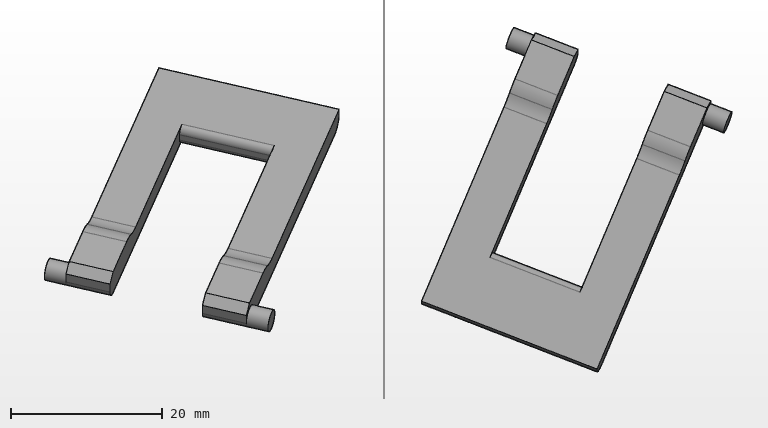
import cadquery as cq
import math

body_width = 25.0
body_length = 40.0
plate_thickness = 3.0
pad_height = 4.0
back_radius = 2.0

arm_width = 6.1
bridge_length = 10.0
bridge_edge_radius = 1.0

front_chamfer_length = 1.4
front_chamfer_height = 1.0
ramp_start = 7.2
ramp_radius = 4.0

pin_diameter = 3.0
pin_length = 3.0

opening_width = body_width - 2 * arm_width
bridge_front = body_length - bridge_length
pin_radius = pin_diameter / 2
ramp_rise = pad_height - plate_thickness
ramp_length = math.sqrt(4 * ramp_radius * ramp_rise - ramp_rise**2)


def make_body():
    """Side profile in the YZ plane, front at Y = 0, extruded across the width."""
    ramp_end = (ramp_start + ramp_length, plate_thickness)
    ramp_middle = (ramp_start + ramp_length / 2, plate_thickness + ramp_rise / 2)
    profile = (
        cq.Workplane("YZ")
        .moveTo(body_length - back_radius, 0)
        .lineTo(pin_radius, 0)
        .tangentArcPoint((0, pin_radius), relative=False)
        .lineTo(0, pad_height - front_chamfer_height)
        .lineTo(front_chamfer_length, pad_height)
        .lineTo(ramp_start, pad_height)
        .tangentArcPoint(ramp_middle, relative=False)
        .tangentArcPoint(ramp_end, relative=False)
        .lineTo(body_length, plate_thickness)
        .lineTo(body_length, back_radius)
        .tangentArcPoint((body_length - back_radius, 0), relative=False)
        .close()
    )
    return profile.extrude(body_width / 2, both=True)


def make_opening():
    """Cutter between the arms, flared where it rounds the edges of the bridge."""
    flare_end = bridge_front + bridge_edge_radius
    upper_tangent_height = plate_thickness - bridge_edge_radius
    profile = (
        cq.Workplane("YZ")
        .lineTo(flare_end, 0)
        .radiusArc((bridge_front, bridge_edge_radius), bridge_edge_radius)
        .lineTo(bridge_front, upper_tangent_height)
        .tangentArcPoint((flare_end, plate_thickness), relative=False)
        .lineTo(flare_end, pad_height)
        .lineTo(0, pad_height)
        .close()
    )
    return profile.extrude(opening_width / 2, both=True)


def make_pin_rod():
    """Rod across the whole part; its ends become the two hinge pins."""
    return (
        cq.Workplane("YZ")
        .center(pin_radius, pin_radius)
        .circle(pin_radius)
        .extrude(body_width / 2 + pin_length, both=True)
    )


result = make_body().union(make_pin_rod()).cut(make_opening())